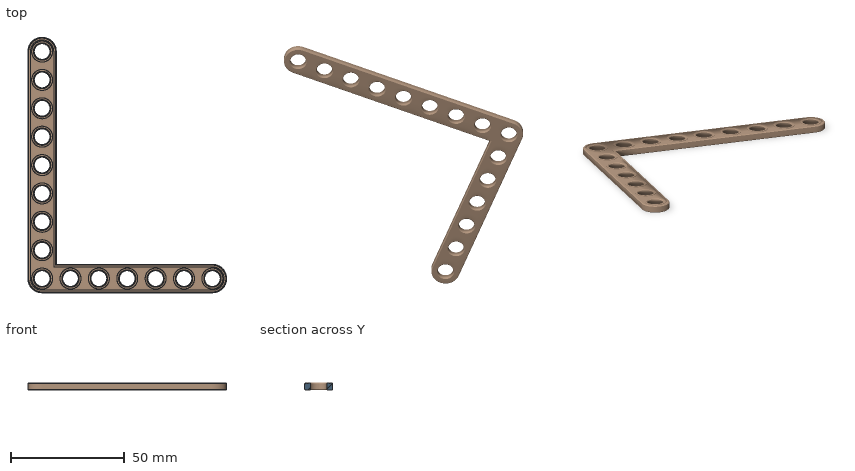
import cadquery as cq

long_length = 112.5
long_hole_count = 9
short_hole_count = 7
thickness = 3.2
hole_diameter = 7.0
collar_diameter = 9.2
border_width = 1.1
recess_depth = 0.2
edge_chamfer = 0.32

pitch = long_length / long_hole_count
arm_width = pitch
long_reach = (long_hole_count - 1) * pitch
short_reach = (short_hole_count - 1) * pitch

hole_centers = [(0, i * pitch) for i in range(long_hole_count)]
hole_centers += [(i * pitch, 0) for i in range(1, short_hole_count)]


def angle_plate(width, height, base_z):
    """L-shaped plate made of two round-ended arms that share the corner hole."""
    base = cq.Workplane("XY").workplane(offset=base_z)
    long_arm = base.center(0, long_reach / 2).slot2D(long_reach + width, width, 90).extrude(height)
    short_arm = base.center(short_reach / 2, 0).slot2D(short_reach + width, width).extrude(height)
    return long_arm.union(short_arm).clean()


def discs(diameter, height, base_z):
    """One round disc on every hole position."""
    base = cq.Workplane("XY").workplane(offset=base_z)
    return base.pushPoints(hole_centers).circle(diameter / 2).extrude(height)


plate = angle_plate(arm_width, thickness, 0)
plate = plate.cut(discs(hole_diameter, thickness, 0))
plate = plate.faces("|Z").edges().chamfer(edge_chamfer)

floor_z = thickness - recess_depth
recess = angle_plate(arm_width - 2 * border_width, recess_depth, floor_z)
recess = recess.cut(discs(collar_diameter, recess_depth, floor_z))

result = plate.cut(recess)